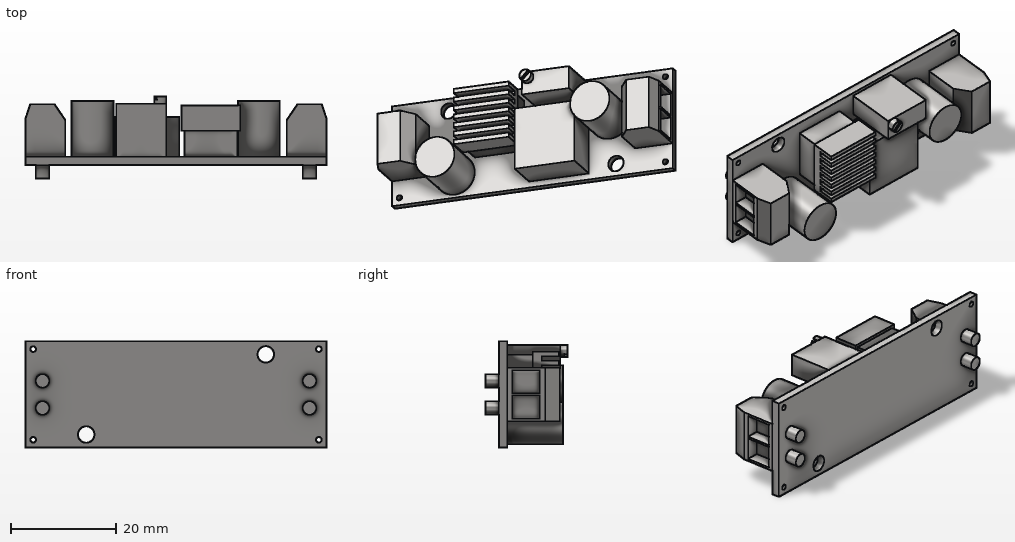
import cadquery as cq


BOARD_LENGTH = 57.15
BOARD_WIDTH = 20.2
BOARD_THICKNESS = 1.6
RIGHT_EDGE = BOARD_LENGTH / 2
TOP_EDGE = BOARD_WIDTH / 2
MOUNT_HOLE_DIAMETER = 3.1
MOUNT_HOLE_X = 17.05
MOUNT_HOLE_Z = 7.6
CORNER_HOLE_DIAMETER = 1.05
CORNER_HOLE_X = RIGHT_EDGE - 1.5
CORNER_HOLE_Z = TOP_EDGE - 1.5

TERMINAL_DEPTH = 7.6
TERMINAL_WIDTH = 10.2
TERMINAL_HEIGHT = 9.95
OUTER_SLOPE_RUN = 0.9
OUTER_SLOPE_START = 7.15
INNER_SLOPE_RUN = 2.05
INNER_SLOPE_START = 6.9
WIRE_OPENING_HEIGHT = 5.2
WIRE_OPENING_WIDTH = 4.4
WIRE_OPENING_BASE = 0.9
WIRE_OPENING_DEPTH = 2.5
WIRE_OPENING_PITCH = 4.8
PIN_DIAMETER = 2.6
PIN_PITCH = 5.15
PIN_PROTRUSION = 2.6
PIN_INSET = 3.25

CAPACITOR_DIAMETER = 8.0
CAPACITOR_HEIGHT = 10.6
CAPACITOR_CENTERS = [(-15.85, 1.55), (15.7, -5.5)]

TRIMMER_LENGTH = 9.55
TRIMMER_WIDTH = 4.45
TRIMMER_HEIGHT = 10.05
TRIMMER_LEFT = -11.4
TRIMMER_TOP = TOP_EDGE - 0.7
SCREW_DIAMETER = 2.35
SCREW_HEIGHT = 1.4
SCREW_SLOT_WIDTH = 0.45
SCREW_SLOT_DEPTH = 0.7
SCREW_SLOT_ANGLE = 45

INDUCTOR_LENGTH = 12.2
INDUCTOR_WIDTH = 12.2
INDUCTOR_HEIGHT = 7.55
INDUCTOR_LEFT = -11.55
INDUCTOR_BOTTOM = 1.2 - TOP_EDGE

CHIP_SIZE = 10.05
CHIP_HEIGHT = 4.85
HEATSINK_SIZE = 11.2
HEATSINK_HEIGHT = 4.85
HEATSINK_BASE = 1.65
HEATSINK_CENTER_X = 6.65
HEATSINK_CENTER_Z = TOP_EDGE - 2.0 - HEATSINK_SIZE / 2
FIN_COUNT = 7
FIN_GAP = HEATSINK_SIZE / (2 * FIN_COUNT - 1)


def box(left, base, bottom, length, height, width):
    """Block from its low corner: length along X, height along Y, width along Z."""
    return cq.Workplane("XY").box(length, height, width, centered=False).translate((left, base, bottom))


def cylinder(diameter, base, height, centers):
    """Cylinders along +Y from Y = base, one at each (x, z) center."""
    disc = cq.Sketch().push(centers).circle(diameter / 2)
    return cq.Workplane("XZ", origin=(0, base, 0)).placeSketch(disc).extrude(-height)


def pin_centers(side):
    """Pin axes of the terminal on the left (side = -1) or right (side = 1)."""
    x = side * (RIGHT_EDGE - PIN_INSET)
    return [(x, -PIN_PITCH / 2), (x, PIN_PITCH / 2)]


def make_board():
    board = box(-RIGHT_EDGE, -BOARD_THICKNESS, -TOP_EDGE, BOARD_LENGTH, BOARD_THICKNESS, BOARD_WIDTH)
    mount_centers = [(-MOUNT_HOLE_X, -MOUNT_HOLE_Z), (MOUNT_HOLE_X, MOUNT_HOLE_Z)]
    corner_centers = [(i * CORNER_HOLE_X, j * CORNER_HOLE_Z) for i in (-1, 1) for j in (-1, 1)]
    holes = [
        (MOUNT_HOLE_DIAMETER, mount_centers),
        (CORNER_HOLE_DIAMETER, corner_centers),
        (PIN_DIAMETER, pin_centers(-1) + pin_centers(1)),
    ]
    for diameter, centers in holes:
        board = board.cut(cylinder(diameter, -BOARD_THICKNESS, BOARD_THICKNESS, centers))
    return board


def make_terminal(side):
    """Terminal block with its two pins; the wire openings face the board's end."""
    outer = -RIGHT_EDGE
    inner = outer + TERMINAL_DEPTH
    block = (
        cq.Workplane("XY", origin=(0, 0, -TERMINAL_WIDTH / 2))
        .polyline([
            (outer, 0),
            (inner, 0),
            (inner, INNER_SLOPE_START),
            (inner - INNER_SLOPE_RUN, TERMINAL_HEIGHT),
            (outer + OUTER_SLOPE_RUN, TERMINAL_HEIGHT),
            (outer, OUTER_SLOPE_START),
        ])
        .close()
        .extrude(TERMINAL_WIDTH)
    )
    for row in (-1, 1):
        bottom = (row * WIRE_OPENING_PITCH - WIRE_OPENING_WIDTH) / 2
        block = block.cut(
            box(outer, WIRE_OPENING_BASE, bottom, WIRE_OPENING_DEPTH, WIRE_OPENING_HEIGHT, WIRE_OPENING_WIDTH)
        )
    if side > 0:
        block = block.mirror("YZ")
    pin_length = BOARD_THICKNESS + PIN_PROTRUSION
    return block.union(cylinder(PIN_DIAMETER, -pin_length, pin_length, pin_centers(side)))


def make_capacitor(center):
    return cylinder(CAPACITOR_DIAMETER, 0, CAPACITOR_HEIGHT, [center])


def make_trimmer():
    return box(TRIMMER_LEFT, 0, TRIMMER_TOP - TRIMMER_WIDTH, TRIMMER_LENGTH, TRIMMER_HEIGHT, TRIMMER_WIDTH)


def make_trimmer_screw():
    """Slotted screw in the +X, +Z corner of the trimmer's outer face."""
    x = TRIMMER_LEFT + TRIMMER_LENGTH - SCREW_DIAMETER / 2
    z = TRIMMER_TOP - SCREW_DIAMETER / 2
    head = TRIMMER_HEIGHT + SCREW_HEIGHT
    slot = (
        cq.Workplane("XY")
        .box(2 * SCREW_DIAMETER, SCREW_SLOT_DEPTH, SCREW_SLOT_WIDTH)
        .rotate((0, 0, 0), (0, 1, 0), SCREW_SLOT_ANGLE)
        .translate((x, head - SCREW_SLOT_DEPTH / 2, z))
    )
    return cylinder(SCREW_DIAMETER, TRIMMER_HEIGHT, SCREW_HEIGHT, [(x, z)]).cut(slot)


def make_inductor():
    return box(INDUCTOR_LEFT, 0, INDUCTOR_BOTTOM, INDUCTOR_LENGTH, INDUCTOR_HEIGHT, INDUCTOR_WIDTH)


def make_chip():
    left = HEATSINK_CENTER_X - CHIP_SIZE / 2
    bottom = HEATSINK_CENTER_Z - CHIP_SIZE / 2
    return box(left, 0, bottom, CHIP_SIZE, CHIP_HEIGHT, CHIP_SIZE)


def make_heatsink():
    """Square base on the chip with fins that run along X."""
    left = HEATSINK_CENTER_X - HEATSINK_SIZE / 2
    bottom = HEATSINK_CENTER_Z - HEATSINK_SIZE / 2
    heatsink = box(left, CHIP_HEIGHT, bottom, HEATSINK_SIZE, HEATSINK_HEIGHT, HEATSINK_SIZE)
    gap_base = CHIP_HEIGHT + HEATSINK_BASE
    gap_depth = HEATSINK_HEIGHT - HEATSINK_BASE
    for i in range(FIN_COUNT - 1):
        gap_bottom = bottom + (2 * i + 1) * FIN_GAP
        heatsink = heatsink.cut(box(left, gap_base, gap_bottom, HEATSINK_SIZE, gap_depth, FIN_GAP))
    return heatsink


board = make_board()
terminals = [make_terminal(side) for side in (-1, 1)]
capacitors = [make_capacitor(center) for center in CAPACITOR_CENTERS]
trimmer = make_trimmer()
trimmer_screw = make_trimmer_screw()
inductor = make_inductor()
chip = make_chip()
heatsink = make_heatsink()

result = cq.Compound.makeCompound([
    board.val(),
    *[terminal.val() for terminal in terminals],
    *[capacitor.val() for capacitor in capacitors],
    trimmer.val(),
    trimmer_screw.val(),
    inductor.val(),
    chip.val(),
    heatsink.val(),
])